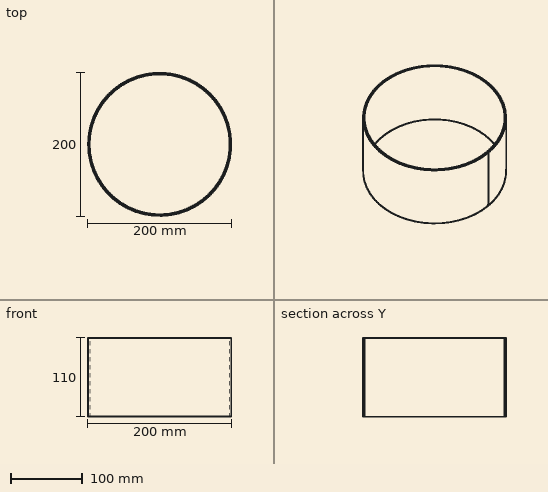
import cadquery as cq

outer_diameter = 200.0
wall_thickness = 2.5
height = 110.0
outer_chamfer = 0.5
inner_chamfer = 0.2
sweep_angle = 359.0

outer_radius = outer_diameter / 2
mean_radius = outer_radius - wall_thickness / 2


def wall_section():
    """Wall cross-section in the XZ plane on the -X side, with its outer and inner rim corners chamfered."""
    return (
        cq.Sketch()
        .push([(-mean_radius, height / 2)])
        .rect(wall_thickness, height)
        .reset()
        .edges("<X")
        .vertices()
        .chamfer(outer_chamfer)
        .reset()
        .edges(">X")
        .vertices()
        .chamfer(inner_chamfer)
    )


result = cq.Workplane("XZ").placeSketch(wall_section()).revolve(sweep_angle, (0, 0, 0), (0, 1, 0))